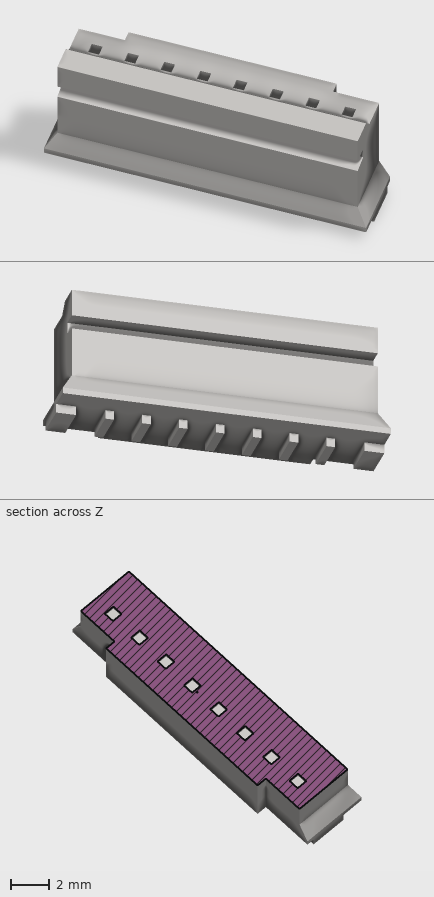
import cadquery as cq

overall_length = 17.8
overall_depth = 4.5
overall_height = 6.85

bottom_z = -overall_height / 2
top_z = overall_height / 2
back_y = overall_depth / 2
flange_front_y = -overall_depth / 2

flare = 0.6
flare_front = 0.4
flare_height = 1.0
flange_thickness = 0.33
body_length = overall_length - 2 * flare
body_front_y = flange_front_y + flare_front

pad_length = 11.5
pad_thickness = 0.6
body_back_y = back_y - pad_thickness

rail_height = 0.6
rail_width = 1.36
rail_slope = 0.56
ledge_z = top_z - rail_height

groove_depth = 0.9
groove_lip_height = 1.5
groove_top_z = top_z - groove_lip_height
groove_inner_height = 0.62
groove_outer_height = 0.77
groove_floor_y = body_front_y + groove_depth

contact_count = 8
pitch = 2.0
pocket_side = 0.6
pocket_depth = 3.0
pocket_setback = 1.72
pocket_y = back_y - pocket_setback

foot_height = 0.5
foot_depth = 2.15
foot_width = 0.47
end_foot_width = 1.08
foot_y = groove_floor_y + foot_depth / 2

base_z = bottom_z + foot_height
flange_top_z = base_z + flange_thickness


def box(length, depth, height, x, y, z):
    """Box centred on x and y, standing on z."""
    return cq.Workplane("XY").box(length, depth, height, centered=(True, True, False)).translate((x, y, z))


def make_body():
    """Side profile of the housing with rail and groove, extruded along X."""
    profile = [
        (body_back_y, base_z),
        (body_back_y, ledge_z),
        (body_front_y + rail_width + rail_slope, ledge_z),
        (body_front_y + rail_width, top_z),
        (body_front_y, top_z),
        (body_front_y, groove_top_z),
        (groove_floor_y, groove_top_z),
        (groove_floor_y, groove_top_z - groove_inner_height),
        (body_front_y, groove_top_z - groove_outer_height),
        (body_front_y, base_z),
    ]
    return cq.Workplane("YZ").polyline(profile).close().extrude(body_length / 2, both=True)


def flange_outline(plane, length, front_y):
    """Rectangle from the body's back face to front_y."""
    depth = body_back_y - front_y
    return plane.center(0, (body_back_y + front_y) / 2).rect(length, depth)


def make_flange():
    """Thin plate with a skirt that narrows up to the body on the front and both ends."""
    plate_plane = cq.Workplane("XY").workplane(offset=base_z)
    plate = flange_outline(plate_plane, overall_length, flange_front_y).extrude(flange_thickness)

    skirt_plane = cq.Workplane("XY").workplane(offset=flange_top_z)
    skirt = flange_outline(skirt_plane, overall_length, flange_front_y)
    upper_plane = skirt.workplane(offset=flare_height).center(0, -(body_back_y + flange_front_y) / 2)
    skirt = flange_outline(upper_plane, body_length, body_front_y).loft(ruled=True)
    return plate.union(skirt)


def make_back_pad():
    """Pad on the back face, from the base up to the ledge."""
    pad_y = back_y - pad_thickness / 2
    return box(pad_length, pad_thickness, ledge_z - base_z, 0, pad_y, base_z)


def add_feet(part):
    """Feet under the base."""
    middle_count = contact_count - 1
    for index in range(middle_count):
        x = (index - (middle_count - 1) / 2) * pitch
        part = part.union(box(foot_width, foot_depth, foot_height, x, foot_y, bottom_z))
    end_foot_x = (overall_length - end_foot_width) / 2
    for x in (-end_foot_x, end_foot_x):
        part = part.union(box(end_foot_width, foot_depth, foot_height, x, foot_y, bottom_z))
    return part


def cut_pockets(part):
    """Square blind pockets in the ledge."""
    for index in range(contact_count):
        x = (index - (contact_count - 1) / 2) * pitch
        pocket = box(pocket_side, pocket_side, pocket_depth + rail_height, x, pocket_y, ledge_z - pocket_depth)
        part = part.cut(pocket)
    return part


housing = make_body().union(make_flange()).union(make_back_pad())
result = cut_pockets(add_feet(housing))